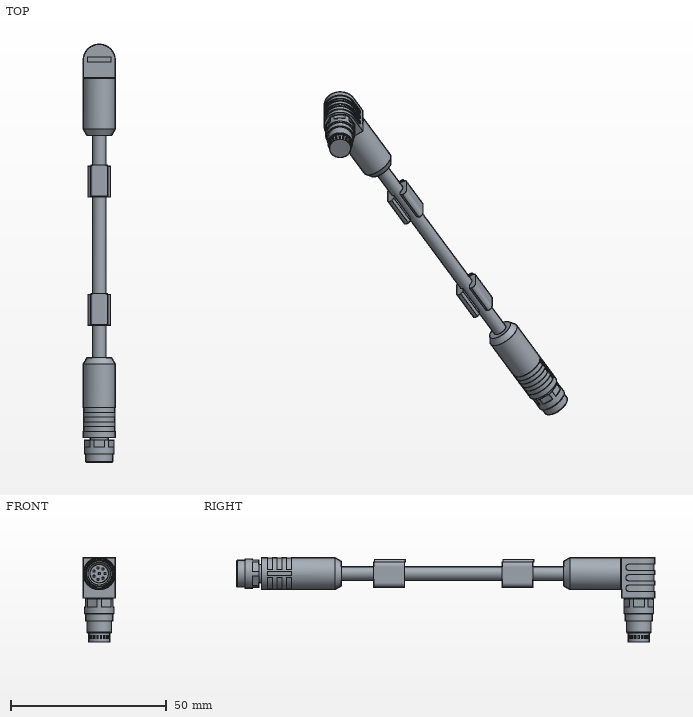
import cadquery as cq
import math


body_dia = 10.4
body_radius = body_dia / 2
nut_radius = 9.5 / 2
sleeve_radius = 8.7 / 2
cable_radius = 4.5 / 2
edge_break = 0.3
grip_end_radius = 8.0 / 2
grip_taper_length = 2.0
overall_length = 134.5
socket_tip_y = body_radius - overall_length

housing_front_y = -5.5
housing_height = 13.0
overall_height = 27.2
housing_bottom_z = body_radius - housing_height
side_slot_width = 2.0
side_slot_pitch = 3.4
side_slot_middle_z = -1.3
side_slot_end_y = -4.2
side_slot_depth = 0.3
top_slot_length = 7.7
top_slot_width = 1.6
top_slot_y = 0.3
top_slot_depth = 0.4

grip_gap = 0.4
grip_neck_radius = 10.1 / 2
angled_grip_end_y = -24.2

plug_start = -housing_bottom_z
plug_nut_start = 8.2
plug_flat_end = 10.8
plug_nut_end = 13.0
plug_sleeve_end = 15.2
plug_barrel_radius = 8.0 / 2
plug_barrel_end = 19.1
plug_tip_radius = 6.9 / 2
plug_end = overall_height - body_radius
notch_count = 18
notch_width = 0.4
notch_start = 19.9
notch_end = 20.8
notch_depth = 0.3

flat_count = 6
flat_depth = 0.34
flat_distance = nut_radius - flat_depth

socket_start = 95.6
socket_body_end = 121.3
socket_neck_radius = 5.9 / 2
socket_nut_start = 122.1
socket_flat_end = 124.3
socket_nut_end = 126.5
socket_end = -socket_tip_y
socket_mouth_radius = 7.3 / 2
socket_floor_radius = 5.9 / 2
socket_depth = 1.1
contact_dia = 0.7
contact_depth = 1.3
contact_circle_radius = 1.9
ring_contacts = 7

groove_count = 3
groove_pitch = 3.1
groove_width = 1.6
first_groove_start = 111.6
groove_depth = 0.1
groove_break_width = 2.5
panel_width = 1.3
panel_depth = 0.3

clip_length = 10.0
clip_starts = (-34.0, -75.3)
clip_half_width = 3.6
clip_top_z = 4.6
clip_bottom_z = -4.5
clip_side_top_z = 2.2
clip_bottom_round = 1.5
label_half_width = 2.7
label_ledge = 0.1
label_base_z = 3.8
label_round = 0.8
label_shift = 0.3
clip_opening_width = 2.4
clip_mouth_flare = 0.8


def turned(outline):
    """Solid of revolution about Z from (height, radius) steps."""
    points = [(radius, height) for height, radius in outline]
    points = [(0, outline[0][0])] + points + [(0, outline[-1][0])]
    return cq.Workplane("XZ").polyline(points).close().revolve(360, (0, 0), (0, 1))


def along_minus_y(solid):
    """Turn a solid built along +Z so that it points along -Y."""
    return solid.rotate((0, 0, 0), (1, 0, 0), 90)


def box_between(x_range, y_range, z_range):
    """Axis-aligned box from three (low, high) ranges."""
    lows, highs = zip(x_range, y_range, z_range)
    sizes = [high - low for low, high in zip(lows, highs)]
    return cq.Workplane("XY").box(*sizes, centered=False).translate(lows)


def nut_flats(start, end, first_angle):
    """Cutters for the flats on a nut whose axis is Z."""
    cutters = cq.Workplane("XY")
    for index in range(flat_count):
        cutter = box_between((flat_distance, body_radius), (-body_radius, body_radius), (start, end))
        cutters = cutters.add(cutter.rotate((0, 0, 0), (0, 0, 1), first_angle + index * 360 / flat_count))
    return cutters.combine()


def housing_outline(plane, inset):
    """Plan of the housing, square at the front and half round behind, with an inset off the walls."""
    half_width = body_radius - inset
    return (
        plane.moveTo(-half_width, housing_front_y)
        .lineTo(half_width, housing_front_y)
        .lineTo(half_width, 0)
        .threePointArc((0, half_width), (-half_width, 0))
        .close()
    )


def side_slot(center_z):
    """Shallow slot round the back of the housing, with rounded ends on both sides."""
    round_center_y = side_slot_end_y + side_slot_width / 2
    slot_length = body_radius - round_center_y
    track = (
        cq.Workplane("YZ")
        .center(round_center_y, center_z)
        .circle(side_slot_width / 2)
        .extrude(body_radius, both=True)
        .union(
            cq.Workplane("YZ")
            .center(round_center_y + slot_length / 2, center_z)
            .rect(slot_length, side_slot_width)
            .extrude(body_radius, both=True)
        )
    )
    core = housing_outline(cq.Workplane("XY").workplane(offset=housing_bottom_z), side_slot_depth)
    return track.cut(core.extrude(housing_height))


def make_housing():
    plane = cq.Workplane("XY").workplane(offset=housing_bottom_z)
    housing = housing_outline(plane, 0).extrude(housing_height)
    for step in (-1, 0, 1):
        housing = housing.cut(side_slot(side_slot_middle_z + step * side_slot_pitch))
    top_slot = cq.Workplane("XY").box(top_slot_length, top_slot_width, 2 * top_slot_depth)
    return housing.cut(top_slot.translate((0, top_slot_y, body_radius)))


def make_angled_grip():
    grip_start = -housing_front_y + grip_gap
    grip_end = -angled_grip_end_y
    return along_minus_y(turned([
        (-housing_front_y, grip_neck_radius),
        (grip_start, grip_neck_radius),
        (grip_start, body_radius),
        (grip_end - grip_taper_length, body_radius),
        (grip_end, grip_end_radius),
    ]))


def make_plug():
    plug = turned([
        (plug_start, sleeve_radius),
        (plug_nut_start, sleeve_radius),
        (plug_nut_start, nut_radius),
        (plug_nut_end - edge_break, nut_radius),
        (plug_nut_end, nut_radius - edge_break),
        (plug_nut_end, sleeve_radius),
        (plug_sleeve_end, sleeve_radius),
        (plug_sleeve_end, plug_barrel_radius),
        (plug_barrel_end - edge_break, plug_barrel_radius),
        (plug_barrel_end, plug_barrel_radius - edge_break),
        (plug_barrel_end, plug_tip_radius),
        (plug_end, plug_tip_radius),
    ])
    plug = plug.cut(nut_flats(plug_nut_start, plug_flat_end, 0))
    notch_step = 360 / notch_count
    for index in range(notch_count):
        notch = box_between(
            (plug_tip_radius - notch_depth, nut_radius),
            (-notch_width / 2, notch_width / 2),
            (notch_start, notch_end),
        )
        plug = plug.cut(notch.rotate((0, 0, 0), (0, 0, 1), index * notch_step))
    return plug.rotate((0, 0, 0), (1, 0, 0), 180)


def finger_grooves():
    """Ring grooves broken on both sides of the socket body, with a sunk panel in each break."""
    length = (groove_count - 1) * groove_pitch + groove_width
    z_range = (first_groove_start, first_groove_start + length)
    rings = cq.Workplane("XY")
    for index in range(groove_count):
        ring = (
            cq.Workplane("XY")
            .workplane(offset=first_groove_start + index * groove_pitch)
            .circle(body_dia)
            .circle(body_radius - groove_depth)
            .extrude(groove_width)
        )
        rings = rings.add(ring)
    half_break = groove_break_width / 2
    grooves = rings.combine().cut(box_between((-body_dia, body_dia), (-half_break, half_break), z_range))
    half_panel = panel_width / 2
    panel_floor = body_radius - panel_depth
    for x_range in ((-body_dia, -panel_floor), (panel_floor, body_dia)):
        grooves = grooves.union(box_between(x_range, (-half_panel, half_panel), z_range))
    return grooves


def contact_holes():
    """One central contact hole and a ring of holes around it."""
    centers = [(0, 0)]
    for index in range(ring_contacts):
        angle = 2 * math.pi * index / ring_contacts
        centers.append((contact_circle_radius * math.cos(angle), contact_circle_radius * math.sin(angle)))
    plane = cq.Workplane("XY").workplane(offset=socket_end - socket_depth - contact_depth)
    return plane.pushPoints(centers).circle(contact_dia / 2).extrude(contact_depth)


def make_socket():
    socket = turned([
        (socket_start, grip_end_radius),
        (socket_start + grip_taper_length, body_radius),
        (socket_body_end, body_radius),
        (socket_body_end, socket_neck_radius),
        (socket_nut_start, socket_neck_radius),
        (socket_nut_start, nut_radius),
        (socket_nut_end, nut_radius),
        (socket_nut_end, sleeve_radius),
        (socket_end - edge_break, sleeve_radius),
        (socket_end, sleeve_radius - edge_break),
    ])
    mouth = turned([
        (socket_end - socket_depth, socket_floor_radius),
        (socket_end, socket_mouth_radius),
    ])
    socket = socket.cut(mouth).cut(contact_holes())
    socket = socket.cut(nut_flats(socket_nut_start, socket_flat_end, 90))
    return along_minus_y(socket.cut(finger_grooves()))


def make_clip(start_y):
    """Clip open at the bottom, with rounded shoulders and a label plate set slightly back on top."""
    shoulder_top = label_half_width + label_ledge
    shoulder_width = clip_half_width - shoulder_top
    shoulder_height = label_base_z - clip_side_top_z
    shoulder_radius = (shoulder_width**2 + shoulder_height**2) / (2 * shoulder_width)
    half_sweep = math.asin(shoulder_height / shoulder_radius) / 2
    shoulder_mid = (
        clip_half_width - shoulder_radius * (1 - math.cos(half_sweep)),
        clip_side_top_z + shoulder_radius * math.sin(half_sweep),
    )
    plate_flat = label_half_width - label_round
    bottom_flat = clip_half_width - clip_bottom_round
    half_body = (
        cq.Workplane("XZ", origin=(0, start_y, 0))
        .moveTo(0, clip_bottom_z)
        .lineTo(bottom_flat, clip_bottom_z)
        .radiusArc((clip_half_width, clip_bottom_z + clip_bottom_round), -clip_bottom_round)
        .lineTo(clip_half_width, clip_side_top_z)
        .threePointArc(shoulder_mid, (shoulder_top, label_base_z))
        .lineTo(0, label_base_z)
        .close()
        .extrude(clip_length)
    )
    half_plate = (
        cq.Workplane("XZ", origin=(0, start_y + label_shift, 0))
        .moveTo(0, label_base_z)
        .lineTo(label_half_width, label_base_z)
        .radiusArc((plate_flat, clip_top_z), -label_round)
        .lineTo(0, clip_top_z)
        .close()
        .extrude(clip_length)
    )
    half_clip = half_body.union(half_plate)
    clip = half_clip.union(half_clip.mirror("YZ"))
    half_opening = clip_opening_width / 2
    half_mouth = half_opening + clip_mouth_flare
    opening = (
        cq.Workplane("XZ", origin=(0, start_y, 0))
        .polyline([
            (-half_mouth, clip_bottom_z),
            (half_mouth, clip_bottom_z),
            (half_opening, clip_bottom_z + clip_mouth_flare),
            (half_opening, 0),
            (-half_opening, 0),
            (-half_opening, clip_bottom_z + clip_mouth_flare),
        ])
        .close()
        .extrude(clip_length)
    )
    return clip.cut(opening)


def make_cable():
    return along_minus_y(turned([(0, cable_radius), (socket_body_end, cable_radius)]))


result = make_cable()
for part in (make_housing(), make_angled_grip(), make_plug(), make_socket()):
    result = result.union(part)
for clip_start in clip_starts:
    result = result.union(make_clip(clip_start))